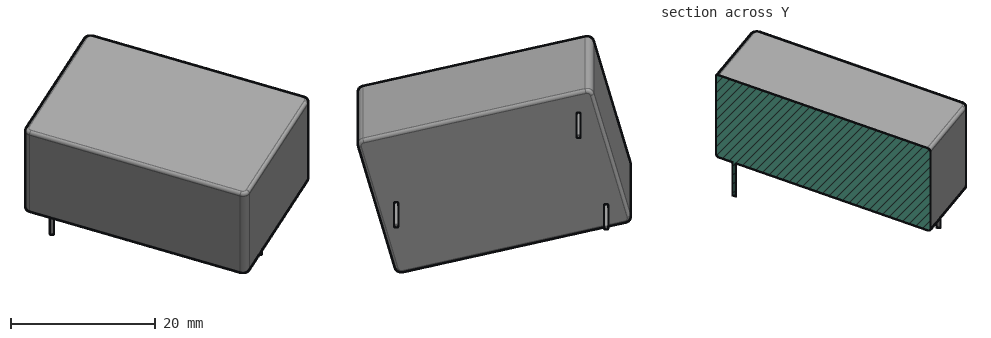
import cadquery as cq

body_length = 33.7
body_width = 22.2
body_height = 15.0
corner_radius = 1.0
edge_radius = 0.5

pin_diameter = 0.6
pin_length = 6.0
pin_tip_radius = 0.1
pin_row_spacing = 28.0
pin_pair_spacing = 15.2
pin_positions = [
    (-pin_row_spacing / 2, -pin_pair_spacing / 2),
    (-pin_row_spacing / 2, pin_pair_spacing / 2),
    (pin_row_spacing / 2, 0),
]


def make_body():
    """Box with rounded vertical corners and softened top and bottom rims."""
    body = cq.Workplane("XY").box(body_length, body_width, body_height, centered=(True, True, False))
    body = body.edges("|Z").fillet(corner_radius)
    return body.faces("<Z or >Z").edges().fillet(edge_radius)


def make_pins():
    """Round pins hanging from the underside, rounded at the rim of their tips."""
    pins = cq.Workplane("XY").pushPoints(pin_positions).circle(pin_diameter / 2).extrude(-pin_length)
    return pins.faces("<Z").edges().fillet(pin_tip_radius)


result = make_body().union(make_pins())